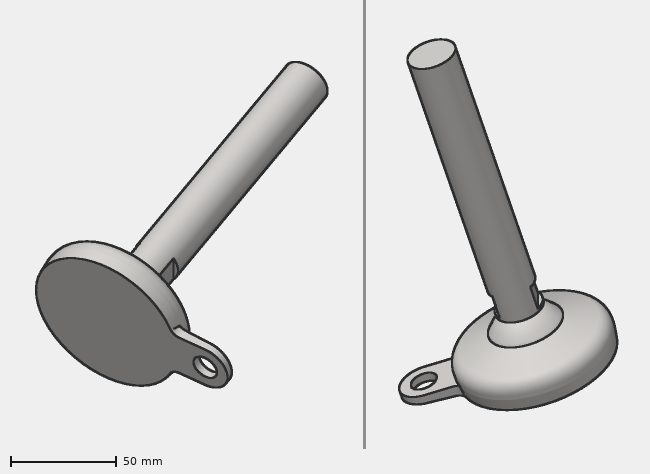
import cadquery as cq
import math

total_length = 181.5
total_width = 108.0

base_diameter = 80.0
base_radius = base_diameter / 2
underside_radius = 39.2
rim_start = 6.4
rim_end = 9.0
shoulder_radius = 7.5
cone_top_radius = 18.7
cone_top = 22.0
cone_angle = math.radians(21.3)

dome_start_radius = 18.0
dome_start = 23.0
neck_radius = 7.6
neck_start = 31.0

stem_radius = 12.0
stem_start = 31.8
flat_start = 33.4
flat_end = 46.0
flat_half_spacing = 9.5

lug_radius = 12.5
lug_hole_x = total_width - base_radius - lug_radius
lug_hole_radius = 6.5
lug_blend_radius = 5.6
lug_root_height = 5.6
lug_tip_height = 4.0


def make_base():
    """Revolved base, with its rounded shoulder, ball dome and neck."""
    shoulder_centre = base_radius - shoulder_radius

    def shoulder_point(angle):
        return (
            shoulder_centre + shoulder_radius * math.cos(angle),
            rim_end + shoulder_radius * math.sin(angle),
        )

    shoulder_sweep = math.pi / 2 - cone_angle

    dome_centre = (neck_radius**2 + neck_start**2 - dome_start_radius**2 - dome_start**2) / (
        2 * (neck_start - dome_start)
    )
    dome_radius = math.hypot(neck_radius, neck_start - dome_centre)
    dome_mid_radius = (dome_start_radius + neck_radius) / 2
    dome_mid = dome_centre + math.sqrt(dome_radius**2 - dome_mid_radius**2)

    profile = (
        cq.Workplane("XY")
        .lineTo(underside_radius, 0)
        .lineTo(base_radius, rim_start)
        .lineTo(base_radius, rim_end)
        .threePointArc(shoulder_point(shoulder_sweep / 2), shoulder_point(shoulder_sweep))
        .lineTo(cone_top_radius, cone_top)
        .lineTo(dome_start_radius, dome_start)
        .threePointArc((dome_mid_radius, dome_mid), (neck_radius, neck_start))
        .lineTo(neck_radius, stem_start)
        .lineTo(0, stem_start)
        .close()
    )
    return profile.revolve(360, (0, 0), (0, 1))


def make_stem():
    """Round stem with two opposite spanner flats."""
    stem = (
        cq.Workplane("XZ", origin=(0, stem_start, 0))
        .circle(stem_radius)
        .extrude(stem_start - total_length)
    )
    for side in (-1, 1):
        cutter = cq.Workplane("XY").box(stem_radius, flat_end - flat_start, 2 * stem_radius)
        centre_x = side * (flat_half_spacing + stem_radius / 2)
        stem = stem.cut(cutter.translate((centre_x, (flat_start + flat_end) / 2, 0)))
    return stem


def make_lug():
    """Tapered lug, blended into the base and pierced by a hole."""
    blend_z = lug_radius + lug_blend_radius
    blend_distance = underside_radius + lug_blend_radius
    blend_x = math.sqrt(blend_distance**2 - blend_z**2)
    root_x = blend_x * underside_radius / blend_distance
    root_z = blend_z * underside_radius / blend_distance
    mid_angle = (math.atan2(blend_z, blend_x) + math.pi / 2) / 2
    mid_x = blend_x - lug_blend_radius * math.cos(mid_angle)
    mid_z = blend_z - lug_blend_radius * math.sin(mid_angle)
    tip_x = lug_hole_x + lug_radius

    outline = (
        cq.Workplane("XZ")
        .moveTo(0, root_z)
        .lineTo(root_x, root_z)
        .threePointArc((mid_x, mid_z), (blend_x, lug_radius))
        .lineTo(lug_hole_x, lug_radius)
        .threePointArc((tip_x, 0), (lug_hole_x, -lug_radius))
        .lineTo(blend_x, -lug_radius)
        .threePointArc((mid_x, -mid_z), (root_x, -root_z))
        .lineTo(0, -root_z)
        .close()
        .extrude(-rim_end)
    )
    slope = (lug_root_height - lug_tip_height) / (tip_x - base_radius)
    side_profile = (
        cq.Workplane("XY")
        .lineTo(tip_x, 0)
        .lineTo(tip_x, lug_tip_height)
        .lineTo(0, lug_tip_height + slope * tip_x)
        .close()
        .extrude(base_radius, both=True)
    )
    hole = cq.Workplane("XZ").center(lug_hole_x, 0).circle(lug_hole_radius).extrude(-rim_end)
    return outline.intersect(side_profile).cut(hole)


result = make_base().union(make_stem()).union(make_lug())